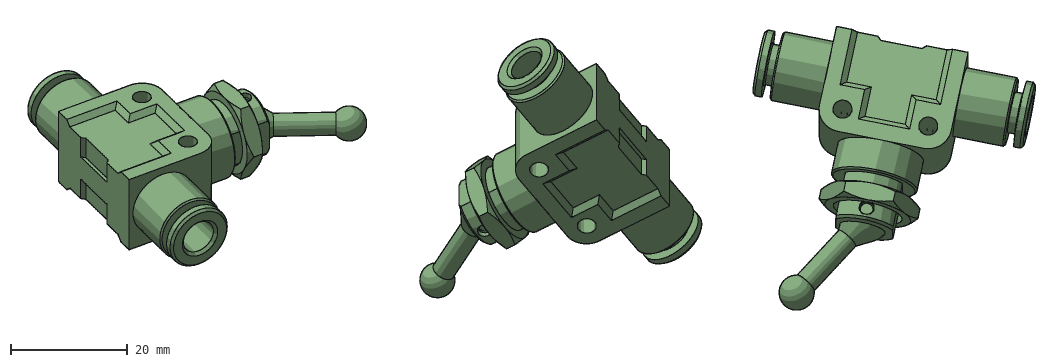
import cadquery as cq
import math

BODY_WIDTH = 23.0
BODY_LENGTH = 18.35
BODY_HEIGHT = 15.0
BODY_CORNER_RADIUS = 4.0
MOUNT_HOLE_DIAMETER = 3.2
MOUNT_HOLE_SPACING = 15.0
MOUNT_HOLE_Y = 14.3

RECESS_DEPTH = 1.0
RECESS_WALL_ANGLE = 45
BAR_HALF_WIDTH = 8.8
BAR_END_Y = 10.1
STEM_HALF_WIDTH = 4.5
STEM_END_Y = 15.45

NOTCH_DEPTH = 0.65
NOTCH_HALF_WIDTH = 4.25
NOTCH_GAP = 4.8

PORT_Y = 6.8
PORT_RADIUS = 6.0
PORT_END_X = 20.5
PORT_CHAMFER = 0.3
COLLAR_NECK_RADIUS = 3.55
COLLAR_NECK_FLARE = 0.25
COLLAR_RADIUS = 5.75
COLLAR_THICKNESS = 1.55
COLLAR_CHAMFER = 0.45
CONNECTOR_SPAN = 47.2
COLLAR_END_X = CONNECTOR_SPAN / 2
BORE_RADIUS = 3.05
BORE_CHAMFER = 0.55

BONNET_RADIUS = BODY_HEIGHT / 2
BONNET_END_Y = 24.0
BONNET_CHAMFER = 0.3
NECK_RADIUS = 6.0
NECK_FLAT_HALF_WIDTH = 5.0
NECK_END_Y = 32.3
NECK_CHAMFER = 0.45

NUT_ACROSS_FLATS = BODY_HEIGHT
NUT_START_Y = 26.2
NUT_THICKNESS = 3.08
NUT_CHAMFER_ANGLE = 30

OVERALL_LENGTH = 48.8
LEVER_TILT = 30
BALL_RADIUS = 3.05
BALL_DISTANCE = 18.0
PIVOT_Y = OVERALL_LENGTH - BALL_RADIUS - BALL_DISTANCE * math.cos(math.radians(LEVER_TILT))
LEVER_RADIUS = 2.0
KNUCKLE_RADIUS = 4.25
KNUCKLE_CONE_ANGLE = 30

PIN_HOLE_RADIUS = 1.25
PIN_HOLE_DEPTH = 1.2
PIN_HOLE_FLOOR_BEVEL = 0.2


def disc_along_y(radius, start_y, end_y):
    return cq.Workplane("XZ", origin=(0, start_y, 0)).circle(radius).extrude(start_y - end_y)


def make_body():
    body = (
        cq.Workplane("XY")
        .box(BODY_WIDTH, BODY_LENGTH, BODY_HEIGHT, centered=(True, False, True))
        .edges("|Z and >Y")
        .fillet(BODY_CORNER_RADIUS)
    )
    mount_holes = (
        cq.Workplane("XY", origin=(0, MOUNT_HOLE_Y, -BODY_HEIGHT / 2))
        .rarray(MOUNT_HOLE_SPACING, 0.5, 2, 1)
        .circle(MOUNT_HOLE_DIAMETER / 2)
        .extrude(BODY_HEIGHT)
    )
    return body.cut(mount_holes)


def make_recess_arm(half_width, end_y):
    """Tapered rectangular cutter that runs out through the front of the upper broad face."""
    overrun = 2 * RECESS_DEPTH
    length = end_y + overrun
    return (
        cq.Workplane("XY", origin=(0, end_y - length / 2, BODY_HEIGHT / 2))
        .rect(2 * half_width, length)
        .extrude(-RECESS_DEPTH, taper=RECESS_WALL_ANGLE)
    )


def make_recess():
    bar = make_recess_arm(BAR_HALF_WIDTH, BAR_END_Y)
    stem = make_recess_arm(STEM_HALF_WIDTH, STEM_END_Y)
    return bar.union(stem)


def make_notch():
    floor_half_width = NOTCH_HALF_WIDTH - NOTCH_DEPTH
    return (
        cq.Workplane("XY", origin=(0, 0, NOTCH_GAP / 2))
        .polyline([
            (-NOTCH_HALF_WIDTH, 0),
            (NOTCH_HALF_WIDTH, 0),
            (floor_half_width, NOTCH_DEPTH),
            (-floor_half_width, NOTCH_DEPTH),
        ])
        .close()
        .extrude((BODY_HEIGHT - NOTCH_GAP) / 2)
    )


def make_connector():
    """Right-hand connector as a revolved profile, bored as far as the side of the body."""
    collar_start_x = COLLAR_END_X - COLLAR_THICKNESS
    bore_end_x = BODY_WIDTH / 2
    return (
        cq.Workplane("XY", origin=(0, PORT_Y, 0))
        .moveTo(0, 0)
        .lineTo(0, PORT_RADIUS)
        .lineTo(PORT_END_X - PORT_CHAMFER, PORT_RADIUS)
        .lineTo(PORT_END_X, PORT_RADIUS - PORT_CHAMFER)
        .lineTo(PORT_END_X, COLLAR_NECK_RADIUS)
        .lineTo(collar_start_x - COLLAR_NECK_FLARE, COLLAR_NECK_RADIUS)
        .lineTo(collar_start_x, COLLAR_NECK_RADIUS + COLLAR_NECK_FLARE)
        .lineTo(collar_start_x, COLLAR_RADIUS)
        .lineTo(COLLAR_END_X - COLLAR_CHAMFER, COLLAR_RADIUS)
        .lineTo(COLLAR_END_X, COLLAR_RADIUS - COLLAR_CHAMFER)
        .lineTo(COLLAR_END_X, BORE_RADIUS + BORE_CHAMFER)
        .lineTo(COLLAR_END_X - BORE_CHAMFER, BORE_RADIUS)
        .lineTo(bore_end_x, BORE_RADIUS)
        .lineTo(bore_end_x, 0)
        .close()
        .revolve(360, (0, 0, 0), (1, 0, 0))
    )


def make_bonnet():
    return disc_along_y(BONNET_RADIUS, BODY_LENGTH, BONNET_END_Y).faces(">Y").chamfer(BONNET_CHAMFER)


def make_neck():
    neck = disc_along_y(NECK_RADIUS, BODY_LENGTH, NECK_END_Y).faces(">Y").chamfer(NECK_CHAMFER)
    between_flats = cq.Workplane("XY").box(
        2 * NECK_FLAT_HALF_WIDTH, 2 * NECK_END_Y, 2 * NECK_RADIUS
    )
    return neck.intersect(between_flats)


def make_nut():
    """Hexagon with corners on X, bevelled on both faces; the round bore leaves gaps at the neck flats."""
    corner_radius = NUT_ACROSS_FLATS / math.sqrt(3)
    face_radius = NUT_ACROSS_FLATS / 2
    bevel_drop = (corner_radius - face_radius) * math.tan(math.radians(NUT_CHAMFER_ANGLE))
    nut_end_y = NUT_START_Y + NUT_THICKNESS
    hexagon = (
        cq.Workplane("XZ", origin=(0, NUT_START_Y, 0))
        .polygon(6, 2 * corner_radius)
        .extrude(-NUT_THICKNESS)
    )
    bevelled_disc = (
        cq.Workplane("XY")
        .moveTo(0, NUT_START_Y)
        .lineTo(face_radius, NUT_START_Y)
        .lineTo(corner_radius, NUT_START_Y + bevel_drop)
        .lineTo(corner_radius, nut_end_y - bevel_drop)
        .lineTo(face_radius, nut_end_y)
        .lineTo(0, nut_end_y)
        .close()
        .revolve(360, (0, 0, 0), (0, 1, 0))
    )
    bore = disc_along_y(NECK_RADIUS, NUT_START_Y, nut_end_y)
    return hexagon.intersect(bevelled_disc).cut(bore)


def make_lever():
    """Round knuckle, tangent cone, straight stem and ball end, revolved upright and then tilted."""
    cone_angle = math.radians(KNUCKLE_CONE_ANGLE)
    tangent_radius = KNUCKLE_RADIUS * math.cos(cone_angle)
    tangent_y = KNUCKLE_RADIUS * math.sin(cone_angle)
    stem_start_y = tangent_y + (tangent_radius - LEVER_RADIUS) / math.tan(cone_angle)
    ball_joint_y = BALL_DISTANCE - math.sqrt(BALL_RADIUS**2 - LEVER_RADIUS**2)
    lever = (
        cq.Workplane("XY")
        .moveTo(0, -KNUCKLE_RADIUS)
        .threePointArc((KNUCKLE_RADIUS, 0), (tangent_radius, tangent_y))
        .lineTo(LEVER_RADIUS, stem_start_y)
        .lineTo(LEVER_RADIUS, ball_joint_y)
        .threePointArc((BALL_RADIUS, BALL_DISTANCE), (0, BALL_DISTANCE + BALL_RADIUS))
        .close()
        .revolve(360, (0, 0, 0), (0, 1, 0))
    )
    return lever.rotate((0, 0, 0), (0, 0, 1), -LEVER_TILT).translate((0, PIVOT_Y, 0))


def make_pin_hole():
    return (
        cq.Workplane("XY", origin=(0, PIVOT_Y, NECK_RADIUS))
        .circle(PIN_HOLE_RADIUS)
        .extrude(-PIN_HOLE_DEPTH)
        .faces("<Z")
        .chamfer(PIN_HOLE_FLOOR_BEVEL)
    )


def both_sides(shape, mirror_plane):
    return shape.union(shape.mirror(mirror_plane))


body = make_body()
body = body.cut(both_sides(make_recess(), "XY"))
body = body.cut(both_sides(make_notch(), "XY"))

neck = make_neck().cut(both_sides(make_pin_hole(), "XY"))

result = (
    body.union(both_sides(make_connector(), "YZ"))
    .union(make_bonnet())
    .union(neck)
    .union(make_nut())
    .union(make_lever())
)